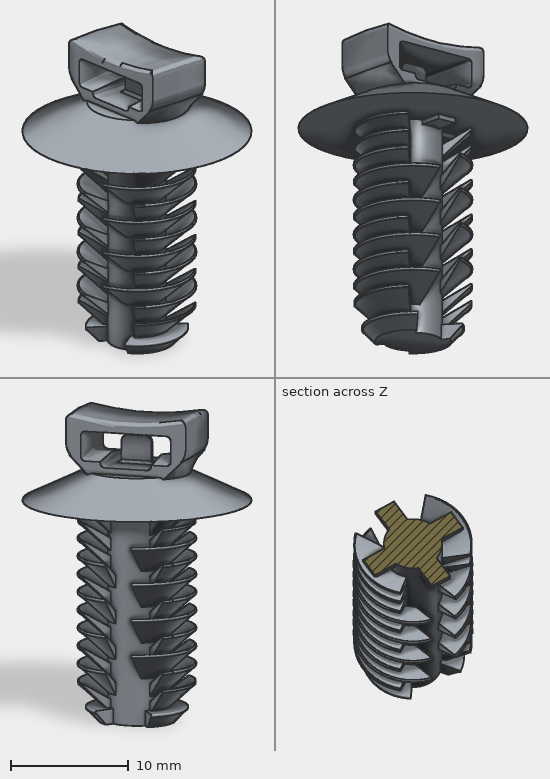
import cadquery as cq
import math

SHANK_RADIUS = 2.5

DISC_DIAMETER = 19.5
DISC_RADIUS = DISC_DIAMETER / 2
DISC_TOP_RADIUS = 4.25
DISC_BOTTOM_Z = 19.08
DISC_TOP_Z = 21.77

PAD_WIDTH = 1.88
PAD_REACH = 4.45
PAD_DEPTH = 0.43

FIN_COUNT = 11
LOWEST_FIN_TOP_Z = 3.52
HIGHEST_FIN_TOP_Z = 19.03
FIN_PITCH = (HIGHEST_FIN_TOP_Z - LOWEST_FIN_TOP_Z) / (FIN_COUNT - 1)
NARROW_FIN_RADIUS = 5.02
WIDE_FIN_RADIUS = 5.07
RIM_RADIUS = 0.13
FIN_TOP_SLOPE = 0.59
FIN_BOTTOM_SLOPE = 0.93
FIN_ROOT_RADIUS = SHANK_RADIUS - 0.21
NARROW_HALF_ANGLE = 45.0
WIDE_END_ANGLE = 34.0
WIDE_CUT_X = 1.15
FIRST_WIDE_FIN = 1
LAST_WIDE_FIN = 8

END_FIN_RADIUS = 4.37
END_FIN_BOTTOM_RADIUS = 3.25
END_FIN_TOP_Z = 1.32
END_FIN_HALF_ANGLE = 55.0

HEAD_HALF_WIDTH = 5.45
HEAD_HALF_DEPTH = 2.98
HEAD_TOP_Z = 26.95
HEAD_DRAFT = 1.5
SADDLE_Z = 26.33
SIDE_BOTTOM_Z = 24.24
CHEEK_HALF_WIDTH = 5.07
CHEEK_Z = 23.22
CHEEK_BULGE = 0.095
CORE_HALF_WIDTH = 4.3
CORE_Z = 22.55
HEAD_EDGE_FILLET = 0.48

NECK_END_X = 4.62
NECK_CORNER_X = 3.38
NECK_BOTTOM_Z = 21.58

WINDOW_WIDTH = 8.05
WINDOW_TOP_Z = 25.36
WINDOW_FLOOR_MOUTH_Z = 22.8
WINDOW_FLOOR_RIDGE_Z = 23.2
WINDOW_CORNER = 0.4

CHANNEL_FLOOR_Z = 22.3
CHANNEL_FLOOR_HALF_WIDTH = 1.85
CHANNEL_FILLET = 0.45
CHANNEL_TOP_HALF_WIDTH = 2.2

TONGUE_WIDTH = 2.68
TONGUE_THICKNESS = 0.32
TONGUE_TOP_Z = 24.72
TONGUE_CORNER = 0.55
TONGUE_FLARE = 0.27

TRIM_REACH = 2 * WIDE_FIN_RADIUS


def make_fin_ring():
    """Full dished fin with a rounded rim, its top at z = 0."""
    rim_center = WIDE_FIN_RADIUS - RIM_RADIUS
    root_run = rim_center - FIN_ROOT_RADIUS
    return (
        cq.Workplane("XZ")
        .moveTo(FIN_ROOT_RADIUS, -FIN_TOP_SLOPE * root_run)
        .lineTo(rim_center, 0)
        .threePointArc((WIDE_FIN_RADIUS, -RIM_RADIUS), (rim_center, -2 * RIM_RADIUS))
        .lineTo(FIN_ROOT_RADIUS, -2 * RIM_RADIUS - FIN_BOTTOM_SLOPE * root_run)
        .close()
        .revolve(360, (0, 0, 0), (0, 1, 0))
    )


def make_trim_block(points):
    """Tall prism over an XY outline, spanning all heights of one fin."""
    return cq.Workplane("XY").polyline(points).close().extrude(TRIM_REACH, both=True)


def make_sector(half_angle):
    """Trim block around the +X axis, bounded by two radial planes."""
    side = TRIM_REACH * math.tan(math.radians(half_angle))
    return make_trim_block([(0, 0), (TRIM_REACH, -side), (TRIM_REACH, side)])


def with_opposite(body):
    """Add a copy turned half a turn about Z."""
    return body.add(body.rotate((0, 0, 0), (0, 0, 1), 180)).combine()


def make_narrow_block():
    """Sector block with a round outer side that shaves the fin rim flat."""
    drum = cq.Workplane("XY").circle(NARROW_FIN_RADIUS).extrude(TRIM_REACH, both=True)
    return drum.intersect(make_sector(NARROW_HALF_ANGLE))


def make_narrow_fins():
    return with_opposite(make_fin_ring().intersect(make_narrow_block()))


def make_wide_fins():
    """Pair of fins that run on past the sector toward one side, up to a plane x = constant."""
    slope = math.tan(math.radians(WIDE_END_ANGLE))
    wide_block = make_trim_block([
        (WIDE_CUT_X, -TRIM_REACH),
        (TRIM_REACH, -TRIM_REACH),
        (TRIM_REACH, TRIM_REACH * slope),
        (WIDE_CUT_X, WIDE_CUT_X * slope),
    ])
    return with_opposite(make_fin_ring().intersect(wide_block.union(make_narrow_block())))


def make_end_fins():
    rim_center = END_FIN_RADIUS - RIM_RADIUS
    ring = (
        cq.Workplane("XZ")
        .moveTo(FIN_ROOT_RADIUS, 0)
        .lineTo(END_FIN_BOTTOM_RADIUS, 0)
        .lineTo(rim_center, END_FIN_TOP_Z - 2 * RIM_RADIUS)
        .threePointArc((END_FIN_RADIUS, END_FIN_TOP_Z - RIM_RADIUS), (rim_center, END_FIN_TOP_Z))
        .lineTo(FIN_ROOT_RADIUS, END_FIN_TOP_Z)
        .close()
        .revolve(360, (0, 0, 0), (0, 1, 0))
    )
    return with_opposite(ring.intersect(make_sector(END_FIN_HALF_ANGLE)))


def make_shank():
    shank = cq.Workplane("XY").circle(SHANK_RADIUS).extrude(DISC_BOTTOM_Z + PAD_DEPTH)
    shank = shank.union(make_end_fins())
    narrow_fins = make_narrow_fins()
    wide_fins = make_wide_fins()
    mirrored_wide_fins = wide_fins.mirror("YZ")
    for index in range(FIN_COUNT):
        if not FIRST_WIDE_FIN <= index <= LAST_WIDE_FIN:
            fins = narrow_fins
        elif index % 2 == 0:
            fins = wide_fins
        else:
            fins = mirrored_wide_fins
        shank = shank.union(fins.translate((0, 0, LOWEST_FIN_TOP_Z + index * FIN_PITCH)))
    return shank


def make_disc():
    disc = (
        cq.Workplane("XZ")
        .moveTo(0, DISC_BOTTOM_Z)
        .lineTo(DISC_RADIUS, DISC_BOTTOM_Z)
        .lineTo(DISC_TOP_RADIUS, DISC_TOP_Z)
        .lineTo(0, DISC_TOP_Z)
        .close()
        .revolve(360, (0, 0, 0), (0, 1, 0))
    )
    pads = (
        cq.Workplane("XY", origin=(0, 0, DISC_BOTTOM_Z - PAD_DEPTH))
        .rect(2 * PAD_REACH, PAD_WIDTH)
        .extrude(2 * PAD_DEPTH)
    )
    return disc.union(pads).union(pads.rotate((0, 0, 0), (0, 0, 1), 90))


def make_head_block():
    """Saddle-topped block, drafted from the mid plane y = 0 toward both faces."""
    cheek_mid_x = (HEAD_HALF_WIDTH + CHEEK_HALF_WIDTH) / 2 + CHEEK_BULGE
    cheek_mid_z = (SIDE_BOTTOM_Z + CHEEK_Z) / 2
    half = (
        cq.Workplane("XZ")
        .moveTo(-HEAD_HALF_WIDTH, HEAD_TOP_Z)
        .threePointArc((0, SADDLE_Z), (HEAD_HALF_WIDTH, HEAD_TOP_Z))
        .lineTo(HEAD_HALF_WIDTH, SIDE_BOTTOM_Z)
        .threePointArc((cheek_mid_x, cheek_mid_z), (CHEEK_HALF_WIDTH, CHEEK_Z))
        .lineTo(CORE_HALF_WIDTH, CORE_Z)
        .lineTo(-CORE_HALF_WIDTH, CORE_Z)
        .lineTo(-CHEEK_HALF_WIDTH, CHEEK_Z)
        .threePointArc((-cheek_mid_x, cheek_mid_z), (-HEAD_HALF_WIDTH, SIDE_BOTTOM_Z))
        .close()
        .extrude(HEAD_HALF_DEPTH, taper=HEAD_DRAFT)
    )
    block = half.union(half.mirror("XZ"))
    reach = DISC_RADIUS
    ceiling = 2 * HEAD_TOP_Z
    saddle_floor_z = (WINDOW_TOP_Z + SADDLE_Z) / 2
    above_window = cq.selectors.BoxSelector((-reach, -reach, WINDOW_TOP_Z), (reach, reach, ceiling))
    upright_corners = cq.selectors.BoxSelector((-reach, -reach, 0), (reach, reach, saddle_floor_z))
    crease_half = HEAD_EDGE_FILLET / 2
    crease = cq.selectors.BoxSelector((-crease_half, -crease_half, 0), (crease_half, crease_half, ceiling))
    return block.edges(above_window - crease - upright_corners).fillet(HEAD_EDGE_FILLET)


def make_neck():
    """Ruled blend from round ends on the disc cone to the straight sides of the head."""
    return (
        cq.Workplane("XY", origin=(0, 0, NECK_BOTTOM_Z))
        .moveTo(-NECK_CORNER_X, -HEAD_HALF_DEPTH)
        .lineTo(NECK_CORNER_X, -HEAD_HALF_DEPTH)
        .threePointArc((NECK_END_X, 0), (NECK_CORNER_X, HEAD_HALF_DEPTH))
        .lineTo(-NECK_CORNER_X, HEAD_HALF_DEPTH)
        .threePointArc((-NECK_END_X, 0), (-NECK_CORNER_X, -HEAD_HALF_DEPTH))
        .close()
        .workplane(offset=CHEEK_Z - NECK_BOTTOM_Z)
        .moveTo(-CHEEK_HALF_WIDTH, -HEAD_HALF_DEPTH)
        .lineTo(CHEEK_HALF_WIDTH, -HEAD_HALF_DEPTH)
        .lineTo(CHEEK_HALF_WIDTH, HEAD_HALF_DEPTH)
        .lineTo(-CHEEK_HALF_WIDTH, HEAD_HALF_DEPTH)
        .close()
        .loft(ruled=True)
    )


def make_window():
    """Window void whose floor rises from each mouth to a ridge at y = 0."""
    def section(floor_z):
        return (
            cq.Sketch()
            .push([(0, (WINDOW_TOP_Z + floor_z) / 2)])
            .rect(WINDOW_WIDTH, WINDOW_TOP_Z - floor_z)
            .reset()
            .vertices()
            .fillet(WINDOW_CORNER)
        )

    half = (
        cq.Workplane("XZ")
        .placeSketch(
            section(WINDOW_FLOOR_RIDGE_Z),
            section(WINDOW_FLOOR_MOUTH_Z).moved(cq.Location(cq.Vector(0, 0, HEAD_HALF_DEPTH))),
        )
        .loft()
    )
    shoulder_x = CHANNEL_FLOOR_HALF_WIDTH + CHANNEL_FILLET
    shoulder_z = CHANNEL_FLOOR_Z + CHANNEL_FILLET
    arc_mid_x = CHANNEL_FLOOR_HALF_WIDTH + CHANNEL_FILLET * math.sin(math.radians(45))
    arc_mid_z = shoulder_z - CHANNEL_FILLET * math.cos(math.radians(45))
    channel = (
        cq.Workplane("XZ")
        .moveTo(-CHANNEL_FLOOR_HALF_WIDTH, CHANNEL_FLOOR_Z)
        .lineTo(CHANNEL_FLOOR_HALF_WIDTH, CHANNEL_FLOOR_Z)
        .threePointArc((arc_mid_x, arc_mid_z), (shoulder_x, shoulder_z))
        .lineTo(CHANNEL_TOP_HALF_WIDTH, WINDOW_FLOOR_RIDGE_Z)
        .lineTo(-CHANNEL_TOP_HALF_WIDTH, WINDOW_FLOOR_RIDGE_Z)
        .lineTo(-shoulder_x, shoulder_z)
        .threePointArc((-arc_mid_x, arc_mid_z), (-CHANNEL_FLOOR_HALF_WIDTH, CHANNEL_FLOOR_Z))
        .close()
        .extrude(HEAD_HALF_DEPTH, both=True)
    )
    return half.union(half.mirror("XZ")).union(channel)


def make_tongue():
    blade = (
        cq.Workplane("XY", origin=(0, 0, CHANNEL_FLOOR_Z))
        .rect(TONGUE_WIDTH, TONGUE_THICKNESS)
        .extrude(TONGUE_TOP_Z - CHANNEL_FLOOR_Z)
        .faces(">Z")
        .edges("|Y")
        .fillet(TONGUE_CORNER)
    )
    flare = (
        cq.Workplane("XY", origin=(0, 0, CHANNEL_FLOOR_Z))
        .rect(TONGUE_WIDTH + 2 * TONGUE_FLARE, TONGUE_THICKNESS + 2 * TONGUE_FLARE)
        .extrude(TONGUE_FLARE, taper=45)
    )
    return blade.union(flare)


head = make_head_block().union(make_neck()).cut(make_window()).union(make_tongue())
result = make_shank().union(make_disc()).union(head)